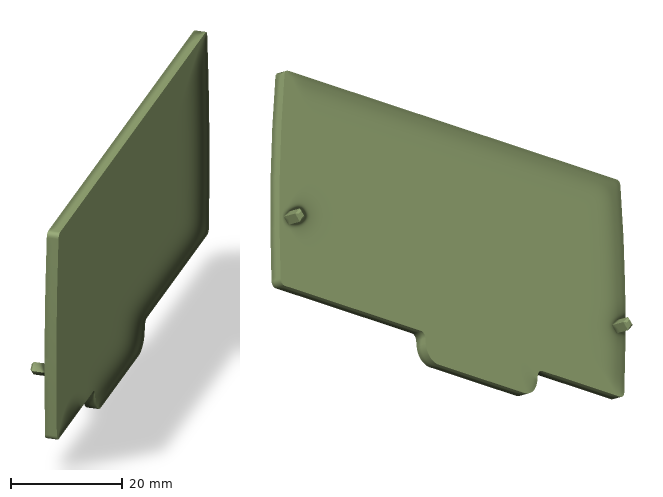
import cadquery as cq
import math

width = 92.7
height = 46.1
plate_thickness = 2.2
top_corner_radius = 1.0
bottom_corner_radius = 1.1

side_radius = 245.7
widest_depth = 26.9

tab_drop = 5.3
tab_center = -7.8
tab_half_width = 15.2
tab_draft = 7.0
tab_corner_radius = 3.5
tab_root_radius = 1.2

pin_diagonal = 2.5
pin_length = 3.15
pin_chamfer = 0.4
pin_spacing = 87.9
pin_depth = 27.8

top_z = height
bottom_z = tab_drop
widest_z = top_z - widest_depth
pin_z = top_z - pin_depth


def side_half_width(z):
    """Half the plate width at level z, on the bowed side arc."""
    sagitta = side_radius - math.sqrt(side_radius**2 - (z - widest_z) ** 2)
    return width / 2 - sagitta


def round_corner_pair(body, center_y, half_width, z, radius):
    """Fillet the two X-direction edges at level z, half_width to either side of center_y."""
    for side in (-1, 1):
        corner = (-plate_thickness / 2, center_y + side * half_width, z)
        body = body.edges("|X").edges(cq.selectors.NearestToPointSelector(corner)).fillet(radius)
    return body


def make_plate():
    """Bow-sided plate with the off-centre tab, all profile corners rounded."""
    top_half = side_half_width(top_z)
    bottom_half = side_half_width(bottom_z)
    tab_end_half = tab_half_width - tab_drop * math.tan(math.radians(tab_draft))
    plate = (
        cq.Workplane("YZ")
        .moveTo(-top_half, top_z)
        .lineTo(top_half, top_z)
        .threePointArc((width / 2, widest_z), (bottom_half, bottom_z))
        .lineTo(tab_center + tab_half_width, bottom_z)
        .lineTo(tab_center + tab_end_half, 0)
        .lineTo(tab_center - tab_end_half, 0)
        .lineTo(tab_center - tab_half_width, bottom_z)
        .lineTo(-bottom_half, bottom_z)
        .threePointArc((-width / 2, widest_z), (-top_half, top_z))
        .close()
        .extrude(-plate_thickness)
    )
    plate = round_corner_pair(plate, 0, top_half, top_z, top_corner_radius)
    plate = round_corner_pair(plate, 0, bottom_half, bottom_z, bottom_corner_radius)
    plate = round_corner_pair(plate, tab_center, tab_half_width, bottom_z, tab_root_radius)
    return round_corner_pair(plate, tab_center, tab_end_half, 0, tab_corner_radius)


def make_pin(y):
    """Square pin standing on a corner, with its free end chamfered."""
    return (
        cq.Workplane("YZ", origin=(-plate_thickness, y, pin_z))
        .polygon(4, pin_diagonal)
        .extrude(-pin_length)
        .faces("<X")
        .chamfer(pin_chamfer)
    )


result = make_plate()
for pin_y in (-pin_spacing / 2, pin_spacing / 2):
    result = result.union(make_pin(pin_y))